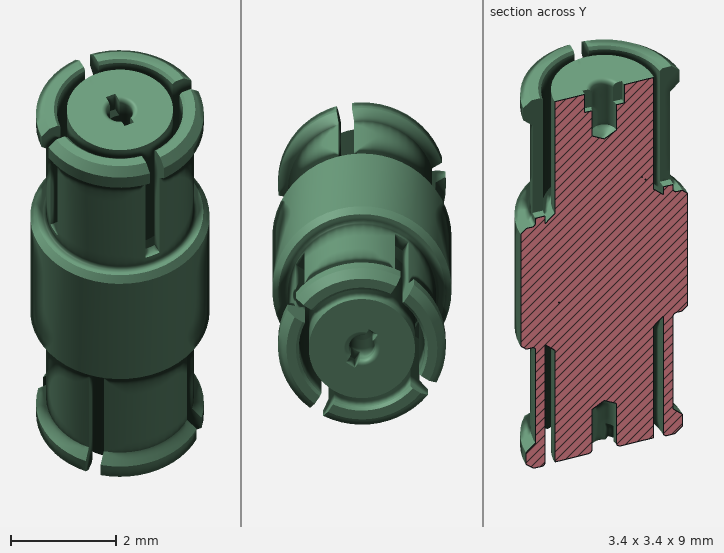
import cadquery as cq

length = 9.0
mid = length / 2
body_radius = 1.7
body_half_length = 1.5
body_chamfer = 0.12

sleeve_radius = 1.4
sleeve_fillet = 0.06
bore_radius = 1.2
bore_chamfer = 0.05

lip_radius = 1.59
lip_back_chamfer = lip_radius - sleeve_radius
lip_land = 0.3
lip_lead_in = 0.16
lip_lead_in_height = 0.14

slot_count = 4
slot_width = 0.3
slot_depth = 2.8

core_radius = 1.01
core_recess = 0.03
core_cone = bore_radius - core_radius

socket_radius = 0.24
socket_depth = 1.08
socket_tip_height = 0.14
socket_mouth_fillet = 0.1
slit_length = 0.8
slit_width = 0.2
slit_depth = 0.45

lower_end_turn = 180 / slot_count

shoulder = mid + body_half_length
core_top = length - core_recess
slot_floor = length - slot_depth


def body():
    """Central cylinder with both shoulder edges chamfered."""
    cylinder = cq.Workplane("XY", origin=(0, 0, mid - body_half_length))
    cylinder = cylinder.circle(body_radius).extrude(2 * body_half_length)
    return cylinder.edges("%CIRCLE").chamfer(body_chamfer)


def sleeve():
    """Solid outside of the upper sleeve, from the shoulder to the lip."""
    land_top = length - lip_lead_in_height
    land_bottom = land_top - lip_land
    outline = (
        cq.Workplane("XZ")
        .moveTo(0, shoulder)
        .lineTo(sleeve_radius + sleeve_fillet, shoulder)
        .radiusArc((sleeve_radius, shoulder + sleeve_fillet), sleeve_fillet)
        .lineTo(sleeve_radius, land_bottom - lip_back_chamfer)
        .lineTo(lip_radius, land_bottom)
        .lineTo(lip_radius, land_top)
        .lineTo(lip_radius - lip_lead_in, length)
        .lineTo(0, length)
        .close()
    )
    return outline.revolve(360, (0, 0), (0, 1))


def core_clearance():
    """Space between core and sleeve, with a conical foot just below the slot floors."""
    outline = (
        cq.Workplane("XZ")
        .moveTo(0, core_top)
        .lineTo(core_radius, core_top)
        .lineTo(core_radius, slot_floor)
        .lineTo(bore_radius, slot_floor - core_cone)
        .lineTo(bore_radius, length - bore_chamfer)
        .lineTo(bore_radius + bore_chamfer, length)
        .lineTo(0, length)
        .close()
    )
    return outline.revolve(360, (0, 0), (0, 1))


def finger_slots():
    """Radial slots through the sleeve wall, all ending on one level."""
    inner = (core_radius + bore_radius) / 2
    slots = cq.Workplane("XY")
    for index in range(slot_count):
        slot = (
            cq.Workplane("XY", origin=(0, 0, slot_floor))
            .center((inner + body_radius) / 2, 0)
            .rect(body_radius - inner, slot_width)
            .extrude(slot_depth)
            .rotate((0, 0, 0), (0, 0, 1), index * 360 / slot_count)
        )
        slots = slots.add(slot)
    return slots.combine()


def contact_socket():
    """Blind round socket with a conical tip, a rounded mouth and a cross slit."""
    floor = core_top - socket_depth
    hole = (
        cq.Workplane("XZ")
        .moveTo(0, floor - socket_tip_height)
        .lineTo(socket_radius, floor)
        .lineTo(socket_radius, core_top - socket_mouth_fillet)
        .radiusArc((socket_radius + socket_mouth_fillet, core_top), socket_mouth_fillet)
        .lineTo(0, core_top)
        .close()
        .revolve(360, (0, 0), (0, 1))
    )
    slit = (
        cq.Workplane("XY", origin=(0, 0, core_top - slit_depth))
        .rect(slit_length, slit_width)
        .extrude(slit_depth)
    )
    return hole.union(slit)


def lower_copy(upper):
    """Same feature at the lower end, turned so the slots alternate."""
    mirrored = upper.mirror("XY", (0, 0, mid))
    return mirrored.rotate((0, 0, 0), (0, 0, 1), lower_end_turn)


upper_sleeve = sleeve()
upper_cavity = core_clearance().union(finger_slots()).union(contact_socket())

result = (
    body()
    .union(upper_sleeve)
    .union(lower_copy(upper_sleeve))
    .cut(upper_cavity)
    .cut(lower_copy(upper_cavity))
)